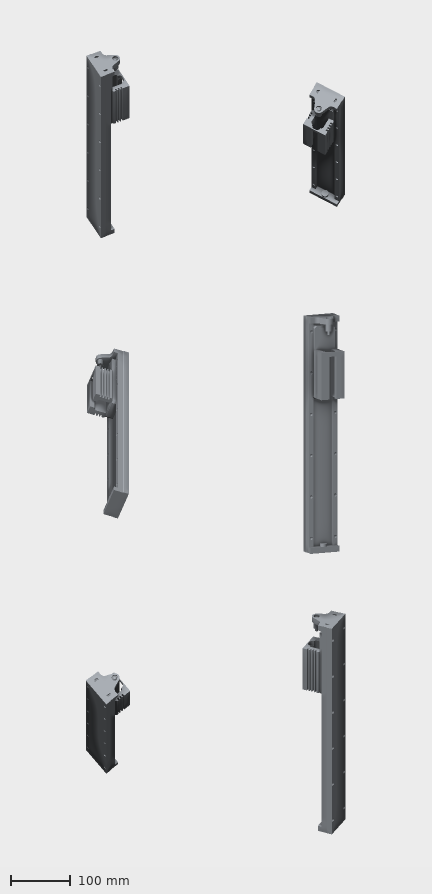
import cadquery as cq
import math

LENGTH = 400.0
BASE_WIDTH = 54.0
BODY_WIDTH = 53.0
FOOT_HEIGHT = 9.0
BODY_START = 10.0
RAIL_HEIGHT = 19.0
CHANNEL_WIDTH = 37.0
CHANNEL_FLOOR = 13.0

CAP_THICKNESS = 10.0
CAP_HEIGHT = 26.0

PAD_DIAMETER = 12.0
PAD_LENGTH = 5.0
PAD_AXIS_Y = 19.5

HOLE_DIAMETER = 5.0
HOLE_SPACING = 44.5
HOLE_PITCH = 70.0
HOLE_ROWS = 6

POCKET_DIAMETER = 8.0
POCKET_SPACING = 30.5
POCKET_Y = 14.0
POCKET_DEPTH = 4.0

LUG_AXIS_Y = 40.5
LUG_RADIUS = 8.0
LUG_FLANK_ANGLE = 22.0
LUG_FILLET = 8.0

BORE_DIAMETER = 10.5
BORE_DEPTH = 4.0
CONE_DIAMETER = 8.0
CONE_TIP_DIAMETER = 4.0
CONE_HEIGHT = 2.0
PLUNGER_DIAMETER = 11.0
PLUNGER_LENGTH = 12.0
TIP_DIAMETER = 5.0
TIP_LENGTH = 6.5

BLOCK_WIDTH = 42.5
BLOCK_TOP = 56.5
BLOCK_BOTTOM = 26.0
BLOCK_LENGTH = 80.0
BEVEL_ACROSS = 1.5
BEVEL_RISE = 2.0
CARRIAGE_Z = 265.0

SLIDE_TOP = 26.5
SLIDE_LENGTH = 116.5
LEAD_LENGTH = 3.5
LEAD_TOP = 25.5

OPENING_WIDTH = 22.5
OPENING_TOP = 49.0
OPENING_FILLET = 4.0
SLOT_WIDTH = 13.0
BRIDGE_SLOT_WIDTH = 15.0
BRIDGE_SLOT_FILLET = 5.0
BRIDGE_THICKNESS = 1.5
BRIDGE_LENGTH = 7.5

GROOVE_WIDTH = 3.0
GROOVE_DEPTH = 4.0
GROOVE_PITCH = 5.0
LOWEST_GROOVE_Y = 32.5
LEFT_GROOVES = 4
RIGHT_GROOVES = 3

SIDES = (-1, 1)


def slab(x0, x1, y0, y1, z0, z1):
    """Box between two opposite corners."""
    return cq.Workplane("XY").box(x1 - x0, y1 - y0, z1 - z0, centered=False).translate((x0, y0, z0))


def cylinder(diameter, y, z0, z1):
    """Cylinder along Z in the middle of the part."""
    return cq.Workplane("XY", origin=(0, y, z0)).circle(diameter / 2).extrude(z1 - z0)


def make_channel():
    """Channel section of the rail, closed at both ends by the caps."""
    foot, body = BASE_WIDTH / 2, BODY_WIDTH / 2
    outline = [(-foot, 0), (foot, 0), (foot, FOOT_HEIGHT), (body, BODY_START), (body, CAP_HEIGHT),
               (-body, CAP_HEIGHT), (-body, BODY_START), (-foot, FOOT_HEIGHT)]
    rail = cq.Workplane("XY").polyline(outline).close().extrude(LENGTH)
    inside = (CAP_THICKNESS, LENGTH - CAP_THICKNESS)
    rail = rail.cut(slab(-foot, foot, RAIL_HEIGHT, CAP_HEIGHT, *inside))
    return rail.cut(slab(-CHANNEL_WIDTH / 2, CHANNEL_WIDTH / 2, CHANNEL_FLOOR, RAIL_HEIGHT, *inside))


def make_lug():
    """Rounded lug whose leaning flanks run into the top cap through fillets."""
    lean = math.radians(LUG_FLANK_ANGLE)
    across, along = math.cos(lean), math.sin(lean)
    flank_x, flank_y = LUG_RADIUS * across, LUG_AXIS_Y + LUG_RADIUS * along
    fillet_y = CAP_HEIGHT + LUG_FILLET * (1 - along)
    fillet_x = flank_x + (flank_y - fillet_y) * math.tan(lean)
    centre_x = fillet_x + LUG_FILLET * across
    middle = (lean + math.pi / 2) / 2
    mid_x = centre_x - LUG_FILLET * math.cos(middle)
    mid_y = CAP_HEIGHT + LUG_FILLET * (1 - math.sin(middle))
    return (
        cq.Workplane("XY", origin=(0, 0, LENGTH - CAP_THICKNESS))
        .moveTo(-centre_x, CAP_HEIGHT)
        .threePointArc((-mid_x, mid_y), (-fillet_x, fillet_y))
        .lineTo(-flank_x, flank_y)
        .threePointArc((0, LUG_AXIS_Y + LUG_RADIUS), (flank_x, flank_y))
        .lineTo(fillet_x, fillet_y)
        .threePointArc((mid_x, mid_y), (centre_x, CAP_HEIGHT))
        .lineTo(centre_x, RAIL_HEIGHT)
        .lineTo(-centre_x, RAIL_HEIGHT)
        .close()
        .extrude(CAP_THICKNESS)
    )


def make_plunger():
    """Stepped pin hanging below the lug."""
    shoulder_z = LENGTH - CAP_THICKNESS - PLUNGER_LENGTH
    body = cylinder(PLUNGER_DIAMETER, LUG_AXIS_Y, shoulder_z, LENGTH - CAP_THICKNESS)
    return body.union(cylinder(TIP_DIAMETER, LUG_AXIS_Y, shoulder_z - TIP_LENGTH, shoulder_z))


def make_cone():
    """Cone that stands on the floor of the lug's bore."""
    return (
        cq.Workplane("XY", origin=(0, LUG_AXIS_Y, LENGTH - BORE_DEPTH))
        .circle(CONE_DIAMETER / 2)
        .workplane(offset=CONE_HEIGHT)
        .circle(CONE_TIP_DIAMETER / 2)
        .loft()
    )


def make_mounting_holes():
    """Two columns of holes along Y through the rail."""
    return (
        cq.Workplane("XZ", origin=(0, 0, LENGTH / 2))
        .rarray(HOLE_SPACING, HOLE_PITCH, 2, HOLE_ROWS)
        .circle(HOLE_DIAMETER / 2)
        .extrude(-CAP_HEIGHT)
    )


def make_pocket(side):
    """Half-round pocket in the top cap, flat towards the middle."""
    x, radius = side * POCKET_SPACING / 2, POCKET_DIAMETER / 2
    return (
        cq.Workplane("XY", origin=(x, POCKET_Y, LENGTH - POCKET_DEPTH))
        .moveTo(0, -radius)
        .threePointArc((side * radius, 0), (0, radius))
        .close()
        .extrude(POCKET_DEPTH)
    )


def make_rail():
    rail = make_channel().union(make_lug()).union(make_plunger())
    rail = rail.cut(cylinder(BORE_DIAMETER, LUG_AXIS_Y, LENGTH - BORE_DEPTH, LENGTH)).union(make_cone())
    for z in (CAP_THICKNESS, LENGTH - CAP_THICKNESS - PAD_LENGTH):
        rail = rail.union(cylinder(PAD_DIAMETER, PAD_AXIS_Y, z, z + PAD_LENGTH))
    rail = rail.cut(make_mounting_holes())
    for side in SIDES:
        rail = rail.cut(make_pocket(side))
    return rail


def make_slide():
    """Long plate that runs in the channel, with a tapered lead at each end."""
    half = CHANNEL_WIDTH / 2
    z0, z1 = CARRIAGE_Z, CARRIAGE_Z + SLIDE_LENGTH
    slide = slab(-half, half, CHANNEL_FLOOR, SLIDE_TOP, z0, z1)
    tip = half - LEAD_LENGTH
    outline = [(-half, z0), (-tip, z0 - LEAD_LENGTH), (tip, z0 - LEAD_LENGTH), (half, z0),
               (half, z1), (tip, z1 + LEAD_LENGTH), (-tip, z1 + LEAD_LENGTH), (-half, z1)]
    leads = (
        cq.Workplane("XZ", origin=(0, CHANNEL_FLOOR, 0))
        .polyline(outline)
        .close()
        .extrude(CHANNEL_FLOOR - LEAD_TOP)
    )
    return slide.union(leads)


def make_clearance():
    """Opening through the block, bridged over at its upper end."""
    block_end = CARRIAGE_Z + BLOCK_LENGTH
    bridge_z = block_end - BRIDGE_LENGTH
    opening = slab(-OPENING_WIDTH / 2, OPENING_WIDTH / 2, BLOCK_BOTTOM, OPENING_TOP, CARRIAGE_Z, block_end)
    opening = opening.edges("|Z and >Y").fillet(OPENING_FILLET)
    slot = slab(-SLOT_WIDTH / 2, SLOT_WIDTH / 2, BLOCK_BOTTOM, BLOCK_TOP, CARRIAGE_Z, bridge_z)
    bridge_slot = slab(-BRIDGE_SLOT_WIDTH / 2, BRIDGE_SLOT_WIDTH / 2,
                       BLOCK_BOTTOM, BLOCK_TOP - BRIDGE_THICKNESS, bridge_z, block_end)
    bridge_slot = bridge_slot.edges("|Z and >Y").fillet(BRIDGE_SLOT_FILLET)
    return opening.union(slot).union(bridge_slot)


def make_groove(side, number):
    """Groove along one side of the block, counted upwards from the lowest."""
    y = LOWEST_GROOVE_Y + number * GROOVE_PITCH
    return (
        cq.Workplane("XY", origin=(side * BLOCK_WIDTH / 2, y, 0))
        .rect(2 * GROOVE_DEPTH, GROOVE_WIDTH)
        .extrude(LENGTH)
    )


def make_edge_bevel(side):
    """Wedge that bevels one lower edge of the block."""
    edge = side * BLOCK_WIDTH / 2
    corners = [(edge, BLOCK_BOTTOM), (edge - side * BEVEL_ACROSS, BLOCK_BOTTOM),
               (edge, BLOCK_BOTTOM + BEVEL_RISE)]
    return cq.Workplane("XY").polyline(corners).close().extrude(LENGTH)


def make_carriage():
    half = BLOCK_WIDTH / 2
    block = slab(-half, half, BLOCK_BOTTOM, BLOCK_TOP, CARRIAGE_Z, CARRIAGE_Z + BLOCK_LENGTH)
    block = block.cut(make_clearance())
    for side in SIDES:
        block = block.cut(make_edge_bevel(side))
    for side, count in zip(SIDES, (LEFT_GROOVES, RIGHT_GROOVES)):
        for number in range(count):
            block = block.cut(make_groove(side, number))
    return block.union(make_slide())


rail = make_rail()
carriage = make_carriage()

result = cq.Compound.makeCompound([rail.val(), carriage.val()])